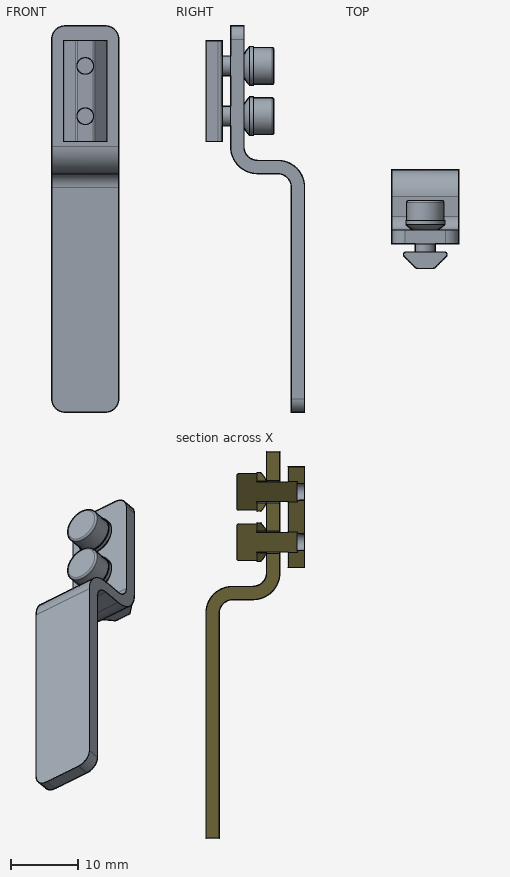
import cadquery as cq
import math

plate_width = 10.0
plate_height = 57.5
plate_thickness = 2.0
plate_back_y = 11.05
step_drop = 20.0
inner_bend_radius = 2.0
outer_bend_radius = inner_bend_radius + plate_thickness
plate_corner_radius = 2.0

screw_pitch = 7.5
fastener_center_z = plate_height - 9.7
screw_heights = [fastener_center_z + side * screw_pitch / 2 for side in (-1, 1)]

washer_diameter = 5.8
washer_hole_diameter = 3.2
washer_thickness = 1.45
washer_sphere_radius = 4.0
washer_seat_radius = 1.7
washer_back_y = plate_thickness + washer_thickness

head_diameter = 5.5
head_height = 3.0
head_edge_radius = 0.3
shank_diameter = 3.0
shank_length = 6.0
plate_hole_diameter = 3.3
screw_tip_y = washer_back_y - shank_length

nut_gap = 1.2
nut_thickness = 2.5
nut_face_width = 2.7
nut_length = 15.0
nut_edge_radius = 0.4
nut_core_diameter = 2.5
nut_front_y = -nut_gap - nut_thickness
nut_bottom_z = fastener_center_z - nut_length / 2


def rod(diameter, start_y, end_y, z):
    """Cylinder along Y at x = 0 and the given height."""
    return (
        cq.Workplane("XZ", origin=(0, end_y, z))
        .circle(diameter / 2)
        .extrude(end_y - start_y)
    )


def make_plate():
    """Z-bent strip with rounded end corners and two screw clearance holes."""
    step_top_z = plate_height - step_drop
    step_bottom_z = step_top_z - plate_thickness
    lower_front_y = plate_back_y - plate_thickness
    bent = (
        cq.Workplane("YZ", origin=(-plate_width / 2, 0, 0))
        .moveTo(0, plate_height)
        .lineTo(0, step_bottom_z + outer_bend_radius)
        .radiusArc((outer_bend_radius, step_bottom_z), -outer_bend_radius)
        .lineTo(lower_front_y - inner_bend_radius, step_bottom_z)
        .radiusArc((lower_front_y, step_bottom_z - inner_bend_radius), inner_bend_radius)
        .lineTo(lower_front_y, 0)
        .lineTo(plate_back_y, 0)
        .lineTo(plate_back_y, step_top_z - outer_bend_radius)
        .radiusArc((plate_back_y - outer_bend_radius, step_top_z), -outer_bend_radius)
        .lineTo(plate_thickness + inner_bend_radius, step_top_z)
        .radiusArc((plate_thickness, step_top_z + inner_bend_radius), inner_bend_radius)
        .lineTo(plate_thickness, plate_height)
        .close()
        .extrude(plate_width)
    )
    plate = bent.faces("<Z or >Z").edges("|Y").fillet(plate_corner_radius)
    for z in screw_heights:
        plate = plate.cut(rod(plate_hole_diameter, 0, plate_thickness, z))
    return plate


def make_washer(z):
    """Washer whose plate side is part of a sphere, in front of a short cylindrical rim."""
    radius = washer_diameter / 2
    hole_radius = washer_hole_diameter / 2

    def sphere_depth(r):
        return math.sqrt(washer_sphere_radius**2 - r**2)

    rim_start = sphere_depth(washer_seat_radius) - sphere_depth(radius)
    return (
        cq.Workplane("XY")
        .moveTo(hole_radius, 0)
        .lineTo(washer_seat_radius, 0)
        .radiusArc((radius, rim_start), -washer_sphere_radius)
        .lineTo(radius, washer_thickness)
        .lineTo(hole_radius, washer_thickness)
        .close()
        .revolve(360, (0, 0, 0), (0, 1, 0))
        .translate((0, plate_thickness, z))
    )


def make_screw(z):
    """Cap screw with a rounded head rim; its tip ends inside the nut."""
    head = rod(head_diameter, washer_back_y, washer_back_y + head_height, z)
    head = head.faces(">Y").edges().fillet(head_edge_radius)
    return head.union(rod(shank_diameter, screw_tip_y, washer_back_y, z))


def make_nut():
    """Trapezoidal bar with 45 degree flanks, rounded long edges and two stepped screw holes."""
    nut_back_width = nut_face_width + 2 * nut_thickness
    nut = (
        cq.Workplane("XY", origin=(0, 0, nut_bottom_z))
        .polyline([
            (-nut_back_width / 2, -nut_gap),
            (-nut_face_width / 2, nut_front_y),
            (nut_face_width / 2, nut_front_y),
            (nut_back_width / 2, -nut_gap),
        ])
        .close()
        .extrude(nut_length)
        .edges("|Z")
        .fillet(nut_edge_radius)
    )
    for z in screw_heights:
        nut = nut.cut(rod(shank_diameter, screw_tip_y, -nut_gap, z))
        nut = nut.cut(rod(nut_core_diameter, nut_front_y, screw_tip_y, z))
    return nut


plate = make_plate()
nut = make_nut()
washers = [make_washer(z) for z in screw_heights]
screws = [make_screw(z) for z in screw_heights]

result = cq.Compound.makeCompound([
    plate.val(),
    nut.val(),
    *[washer.val() for washer in washers],
    *[screw.val() for screw in screws],
])